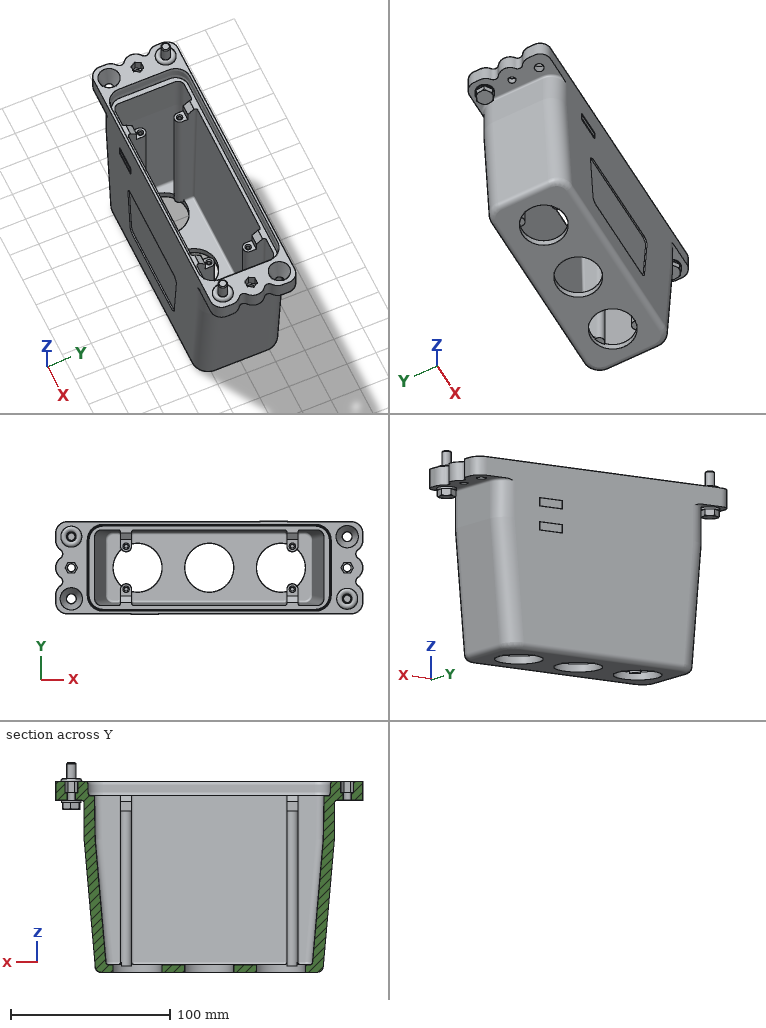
import cadquery as cq
import math

length = 193.0
width = 58.0
height = 120.0
flange_thick = 12.0
draft = math.tan(math.radians(5.0))

lobe_radius = 7.5
lobe_pitch = 17.3
notch_depth = 4.4

body_half_length = 78.7
body_corner = 11.0
taper_start = 36.7
base_fillet = 4.0
flange_fillet = 1.5

rim_half_length = 76.6
rim_half_width = 27.3
rim_corner = 10.0
rim_step = 0.6
rim_slope_height = 2.0
recess_depth = 9.0

cavity_half_length = 72.0
cavity_half_width = 23.8
cavity_wall_draft = math.tan(math.radians(1.0))
cavity_corner = 4.5
cavity_floor = 115.0
floor_fillet = 1.4

boss_x = 52.2
boss_hole_y = 13.5
boss_radius = 3.5
boss_face_depth = 18.5
boss_corner_fillet = 1.5
ramp_outer_y = 21.9
ramp_inner_y = 17.6
ramp_drop = 3.5
boss_hole_diameter = 2.4
boss_hole_depth = 10.0
boss_countersink_diameter = 4.0

opening_diameter = 30.6
opening_pitch = 45.0

fixing_x = 86.6
fixing_y = 19.5
cone_top_diameter = 14.0
shank_diameter = 6.0
nut_across_flats = 6.8
nut_pocket_depth = 7.0
nut_hole_diameter = 4.8

screw_top = 11.7
screw_chamfer = 0.7
dome_height = 1.8
dome_diameter = 13.2
washer_diameter = 12.4
washer_thick = 1.3
head_height = 4.2
head_across_corners = 12.0
head_chamfer = 0.6
head_angle = 25.0

label_top = 52.3
label_bottom = 98.3
label_half_length = 37.3
label_corner = 4.5
label_depth = 1.0

pad_length = 17.0
pad_height = 5.3
pad_proud = 0.5
pad_x = 40.5
upper_pad_depth = 24.5
lower_pad_depth = 39.9

overlap = 1.0

pick = 0.1


def rounded_wire(half_length, half_width, corner, z):
    """Rounded rectangle centred on the Z axis at height z."""
    block = cq.Workplane("XY").box(2 * half_length, 2 * half_width, 1, centered=(True, True, False))
    rounded = block.edges("|Z").fillet(corner)
    return rounded.translate((0, 0, z)).faces("<Z").val().outerWire()


def ruled_solid(sections):
    """Join (half length, half width, corner, z) sections by straight-sided lofts."""
    wires = [rounded_wire(*section) for section in sections]
    solid = cq.Workplane(cq.Solid.makeLoft(wires[:2], True))
    for lower, upper in zip(wires[1:], wires[2:]):
        solid = solid.union(cq.Workplane(cq.Solid.makeLoft([lower, upper], True)))
    return solid


def cylinder(diameter, x, y, z, depth):
    """Cylinder going down by depth from height z."""
    return cq.Workplane("XY").workplane(offset=z).center(x, y).circle(diameter / 2).extrude(-depth)


def cone(lower_diameter, upper_diameter, z_lower, z_upper):
    """Cone frustum on the Z axis."""
    solid = cq.Solid.makeCone(
        lower_diameter / 2, upper_diameter / 2, z_upper - z_lower, pnt=cq.Vector(0, 0, z_lower)
    )
    return cq.Workplane(solid)


def make_scallop():
    """Waste between two neighbouring lobes at the +X, +Y end of the flange."""
    lobe_x = length / 2 - lobe_radius
    notch_x = length / 2 - notch_depth
    notch_y = lobe_pitch / 2
    reach = notch_x - lobe_x
    notch_radius = (reach**2 + notch_y**2 - lobe_radius**2) / (2 * (lobe_radius - reach))
    lobe_angle = math.atan2(notch_y, reach + notch_radius)
    tangent_x = lobe_x + lobe_radius * math.cos(lobe_angle)
    tangent_y = lobe_radius * math.sin(lobe_angle)
    middle_x = lobe_x + lobe_radius * math.cos(lobe_angle / 2)
    middle_y = lobe_radius * math.sin(lobe_angle / 2)
    return (
        cq.Workplane("XY")
        .moveTo(length / 2, 0)
        .threePointArc((middle_x, middle_y), (tangent_x, tangent_y))
        .threePointArc((notch_x, notch_y), (tangent_x, lobe_pitch - tangent_y))
        .threePointArc((middle_x, lobe_pitch - middle_y), (length / 2, lobe_pitch))
        .close()
        .extrude(-flange_thick)
    )


def on_all_quarters(solid):
    """The +X, +Y solid with its mirror images in the other three quarters."""
    half = solid.union(solid.mirror("YZ"))
    return half.union(half.mirror("XZ"))


def make_flange():
    flange = cq.Workplane("XY").box(length, width, flange_thick, centered=(True, True, False))
    flange = flange.translate((0, 0, -flange_thick)).edges("|Z").fillet(lobe_radius)
    return flange.cut(on_all_quarters(make_scallop()))


def make_housing():
    """Solid housing: straight collar, tapered ends and rounded bottom edge."""
    base_half_length = body_half_length - draft * (height - taper_start)
    return (
        ruled_solid(
            [
                (base_half_length, width / 2, body_corner, -height),
                (body_half_length, width / 2, body_corner, -taper_start),
                (body_half_length, width / 2, body_corner, 0),
            ]
        )
        .faces("<Z")
        .edges()
        .fillet(base_fillet)
    )


def fillet_under_flange(shell):
    """Round the inner corner where the housing ends meet the flange underside."""
    half_width = width / 2 - pick
    for end in (-1, 1):
        inner_x = end * (body_half_length - body_corner)
        outer_x = end * (body_half_length + overlap)
        box = cq.selectors.BoxSelector(
            (inner_x, -half_width, -flange_thick - pick),
            (outer_x, half_width, -flange_thick + pick),
        )
        shell = shell.edges(box).fillet(flange_fillet)
    return shell


def make_recess():
    """Seal recess: sloped lip, straight wall and sloped foot."""
    wall_half_length = rim_half_length - rim_step
    wall_half_width = rim_half_width - rim_step
    wall_corner = rim_corner - rim_step
    foot_half_length = wall_half_length - rim_step
    foot_half_width = wall_half_width - rim_step
    return ruled_solid(
        [
            (foot_half_length, foot_half_width, wall_corner - rim_step, -recess_depth),
            (wall_half_length, wall_half_width, wall_corner, -recess_depth + rim_slope_height),
            (wall_half_length, wall_half_width, wall_corner, -rim_slope_height),
            (rim_half_length, rim_half_width, rim_corner, 0),
        ]
    )


def make_boss():
    """Insert boss in the +X, +Y quarter, standing on the floor against the long wall."""
    return (
        cq.Workplane("XY")
        .workplane(offset=-cavity_floor - overlap)
        .moveTo(boss_x - boss_radius, width / 2)
        .lineTo(boss_x - boss_radius, boss_hole_y)
        .threePointArc((boss_x, boss_hole_y - boss_radius), (boss_x + boss_radius, boss_hole_y))
        .lineTo(boss_x + boss_radius, width / 2)
        .close()
        .extrude(cavity_floor + overlap - recess_depth)
    )


def make_boss_relief():
    """Space above the boss face: a ramp from the ledge, then a drop to the face."""
    return (
        cq.Workplane("YZ")
        .workplane(offset=boss_x - boss_radius)
        .moveTo(ramp_outer_y, -recess_depth)
        .lineTo(ramp_inner_y, -recess_depth - ramp_drop)
        .lineTo(ramp_inner_y, -boss_face_depth)
        .lineTo(boss_hole_y - boss_radius, -boss_face_depth)
        .lineTo(boss_hole_y - boss_radius, -recess_depth)
        .close()
        .extrude(2 * boss_radius)
    )


def make_boss_hole():
    hole = cylinder(boss_hole_diameter, boss_x, boss_hole_y, -boss_face_depth, boss_hole_depth)
    sink_depth = (boss_countersink_diameter - boss_hole_diameter) / 2
    sink_bottom = -boss_face_depth - sink_depth
    sink = cone(boss_hole_diameter, boss_countersink_diameter, sink_bottom, -boss_face_depth)
    return hole.union(sink.translate((boss_x, boss_hole_y, 0)))


def fillet_boss_corners(cavity):
    """Round the upright corners where the boss flanks meet the long walls."""
    for end in (-1, 1):
        for flank in (-boss_radius, boss_radius):
            corner_x = end * boss_x + flank
            for side in (-1, 1):
                box = cq.selectors.BoxSelector(
                    (corner_x - pick, side * ramp_outer_y, -cavity_floor),
                    (corner_x + pick, side * width / 2, -recess_depth),
                )
                cavity = cavity.edges(box).fillet(boss_corner_fillet)
    return cavity


def make_cavity(bosses):
    """Drafted cavity with the bosses left standing and its floor edge rounded."""
    shoulder_half_length = cavity_half_length - cavity_wall_draft * (taper_start - recess_depth)
    shoulder_half_width = cavity_half_width - cavity_wall_draft * (taper_start - recess_depth)
    floor_half_length = shoulder_half_length - draft * (cavity_floor - taper_start)
    floor_half_width = cavity_half_width - cavity_wall_draft * (cavity_floor - recess_depth)
    cavity = ruled_solid(
        [
            (floor_half_length, floor_half_width, cavity_corner, -cavity_floor),
            (shoulder_half_length, shoulder_half_width, cavity_corner, -taper_start),
            (cavity_half_length, cavity_half_width, cavity_corner, -recess_depth),
        ]
    )
    cavity = cavity.cut(bosses)
    cavity = fillet_boss_corners(cavity)
    return cavity.faces("<Z").edges().fillet(floor_fillet)


def make_openings():
    openings = cq.Workplane("XY").workplane(offset=-height)
    openings = openings.pushPoints([(-opening_pitch, 0), (0, 0), (opening_pitch, 0)])
    return openings.circle(opening_diameter / 2).extrude(height - cavity_floor + floor_fillet)


def cut_flange_holes(shell):
    """Conical screw seats at the four corners and a nut pocket at the middle of each end."""
    seat = cone(shank_diameter, cone_top_diameter, -flange_thick, 0)
    shell = shell.cut(on_all_quarters(seat.translate((fixing_x, fixing_y, 0))))
    for end in (-1, 1):
        pocket = (
            cq.Workplane("XY")
            .center(end * fixing_x, 0)
            .polygon(6, nut_across_flats / math.cos(math.pi / 6))
            .extrude(-nut_pocket_depth)
        )
        shell = shell.cut(pocket).cut(cylinder(nut_hole_diameter, end * fixing_x, 0, 0, flange_thick))
    return shell


def make_screw():
    """Captive screw on the Z axis with its seal filling the conical seat."""
    shank = cylinder(shank_diameter, 0, 0, screw_top, screw_top + flange_thick)
    shank = shank.faces(">Z").chamfer(screw_chamfer)
    seal = cone(shank_diameter, cone_top_diameter, -flange_thick, 0)
    shank_radius = shank_diameter / 2
    dome_radius = dome_diameter / 2
    dome = (
        cq.Workplane("XZ")
        .moveTo(shank_radius, 0)
        .lineTo(dome_radius, 0)
        .threePointArc(((shank_radius + dome_radius) / 2, dome_height), (shank_radius, 0))
        .close()
        .revolve(360, (0, 0), (0, 1))
    )
    washer = cylinder(washer_diameter, 0, 0, -flange_thick, washer_thick)
    head_top = -flange_thick - washer_thick
    head = (
        cq.Workplane("XY")
        .workplane(offset=head_top)
        .polygon(6, head_across_corners)
        .extrude(-head_height)
        .rotate((0, 0, 0), (0, 0, 1), head_angle)
    )
    envelope = cylinder(head_across_corners, 0, 0, head_top, head_height)
    head = head.intersect(envelope.faces("<Z").chamfer(head_chamfer))
    return shank.union(seal).union(dome).union(washer).union(head)


def make_label_recess():
    lower_half_length = label_half_length - draft * (label_bottom - label_top)
    return (
        cq.Workplane("XZ")
        .workplane(offset=width / 2 - label_depth)
        .polyline(
            [
                (-label_half_length, -label_top),
                (label_half_length, -label_top),
                (lower_half_length, -label_bottom),
                (-lower_half_length, -label_bottom),
            ]
        )
        .close()
        .extrude(label_depth)
        .edges("|Y")
        .fillet(label_corner)
    )


def make_pad(side, x, depth):
    """Raised marking pad on the long wall facing side * Y."""
    thickness = pad_proud + overlap
    y = side * (width / 2 + pad_proud - thickness / 2)
    return cq.Workplane("XY").box(pad_length, thickness, pad_height).translate((x, y, -depth))


shell = fillet_under_flange(make_flange().union(make_housing()))

bosses = on_all_quarters(make_boss())
shell = shell.cut(make_recess())
shell = shell.cut(make_cavity(bosses))
shell = shell.cut(make_openings().cut(bosses))
shell = shell.cut(on_all_quarters(make_boss_relief()))
shell = shell.cut(on_all_quarters(make_boss_hole()))

shell = cut_flange_holes(shell)
for end in (-1, 1):
    shell = shell.union(make_screw().translate((end * fixing_x, -end * fixing_y, 0)))

shell = shell.cut(make_label_recess())
shell = shell.union(make_pad(-1, -pad_x, upper_pad_depth))
shell = shell.union(make_pad(1, pad_x, upper_pad_depth))
shell = shell.union(make_pad(1, pad_x, lower_pad_depth))

result = shell